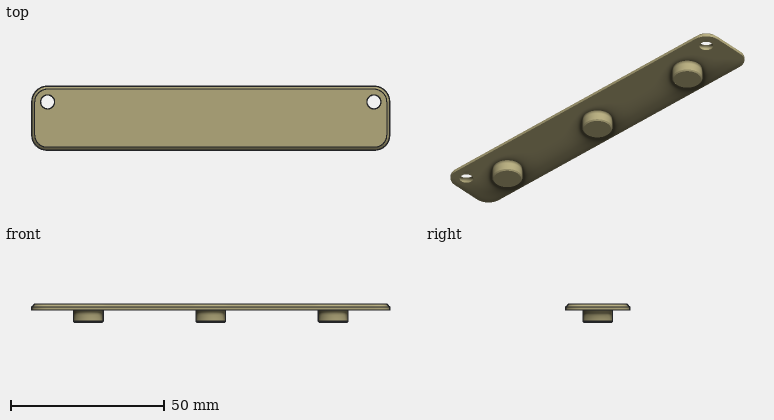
import cadquery as cq

plate_length = 117.0
plate_width = 21.0
plate_thickness = 2.0
front_corner_radius = 5.0
rear_corner_radius = 5.2
top_chamfer = 1.0

hole_diameter = 4.5
hole_x = plate_length / 2 - rear_corner_radius
hole_y = plate_width / 2 - rear_corner_radius

peg_diameter = 9.8
peg_height = 4.0
peg_pitch = 40.0
peg_count = 3
peg_chamfer = 0.4


def make_plate():
    """Rounded plate with its underside at Z = 0 and a chamfered top rim."""
    blank = cq.Workplane("XY").rect(plate_length, plate_width).extrude(plate_thickness)
    front_rounded = blank.edges("|Z and <Y").fillet(front_corner_radius)
    rounded = front_rounded.edges("|Z and >Y").fillet(rear_corner_radius)
    return rounded.faces(">Z").edges().chamfer(top_chamfer)


def make_pegs():
    """Row of pegs hanging below the plate, with chamfered free ends."""
    pegs = (
        cq.Workplane("XY")
        .rarray(peg_pitch, 1, peg_count, 1)
        .circle(peg_diameter / 2)
        .extrude(-peg_height)
    )
    return pegs.faces("<Z").edges().chamfer(peg_chamfer)


def make_hole_cutters():
    """Cylinders that pass through the plate at the two screw holes."""
    return (
        cq.Workplane("XY")
        .pushPoints([(-hole_x, hole_y), (hole_x, hole_y)])
        .circle(hole_diameter / 2)
        .extrude(plate_thickness)
    )


result = make_plate().union(make_pegs()).cut(make_hole_cutters())